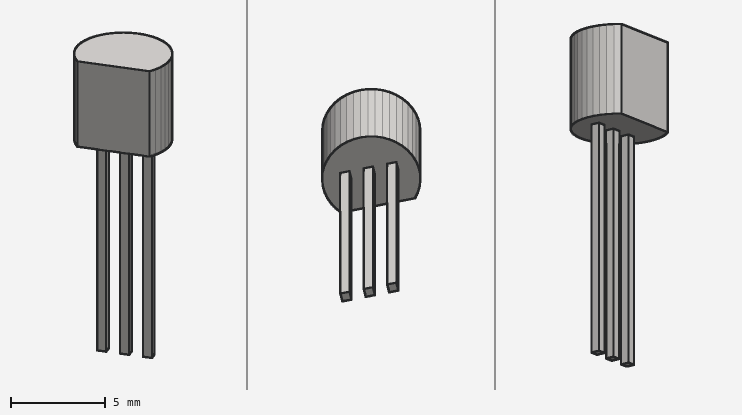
import cadquery as cq
import math

body_radius = 2.605
body_depth = 4.27
body_height = 5.0
facet_count = 30
flat_y = body_radius - body_depth
flat_corner_angle = math.asin(flat_y / body_radius)

lead_count = 3
lead_pitch = 1.27
lead_width = 0.5
lead_length = 12.7
lead_y = body_radius - body_depth / 2


def body_corners():
    """Corners of the body on its circle, counter-clockwise from the +X end of the flat."""
    facet_angle = (math.pi - 2 * flat_corner_angle) / facet_count
    corners = []
    for index in range(facet_count + 1):
        angle = flat_corner_angle + index * facet_angle
        corners.append((body_radius * math.cos(angle), body_radius * math.sin(angle)))
    return corners


def make_body():
    """Faceted D-shaped prism standing on the plane Z = 0; closing the outline makes the flat."""
    return cq.Workplane("XY").polyline(body_corners()).close().extrude(body_height)


def make_leads():
    """Row of square leads hanging below the body."""
    return (
        cq.Workplane("XY")
        .center(0, lead_y)
        .rarray(lead_pitch, 1, lead_count, 1)
        .rect(lead_width, lead_width)
        .extrude(-lead_length)
    )


result = make_body().union(make_leads())